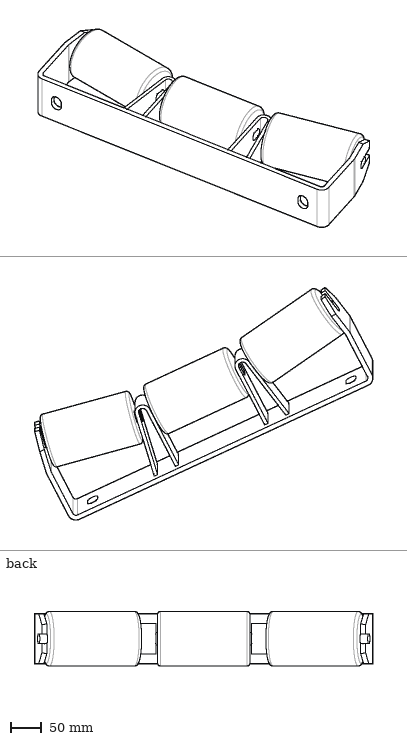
import cadquery as cq
import math

frame_length = 550.0
frame_width = 81.5
frame_thickness = 8.0
corner_radius = 14.0
tip_y = 162.0
lug_taper_y = 133.0
lug_tip_width = 46.0
knee_radius = 20.0

mount_hole_width = 18.0
mount_hole_height = 26.5
mount_hole_x = 234.0

roller_diameter = 89.0
roller_length = 150.0
roller_fillet = 5.0
roller_y = 102.5
tilt = 10.0

shaft_diameter = 20.5
shaft_flat_width = 15.5
shaft_gap = 3.0
lug_gap = 4.5

hairpin_width = 50.0
hairpin_thickness = 6.0
hairpin_radius = 12.5
shaft_drop = 12.5

tilt_sin = math.sin(math.radians(tilt))
tilt_cos = math.cos(math.radians(tilt))
shoulder = roller_length / 2 + shaft_gap
hairpin_x = shoulder + hairpin_radius
hairpin_y = roller_y + shaft_drop
bend_to_roller = hairpin_radius + shoulder
side_roller_x = hairpin_x + bend_to_roller * tilt_cos + shaft_drop * tilt_sin
side_roller_y = hairpin_y + bend_to_roller * tilt_sin - shaft_drop * tilt_cos
half_length = frame_length / 2
lug_offset = roller_length / 2 + lug_gap + frame_thickness
knee_y = side_roller_y + (lug_offset - (half_length - side_roller_x) * tilt_cos) / tilt_sin


def tilted(body):
    """Move a body from the origin to the tilted right-hand roller place."""
    turned = body.rotate((0, 0, 0), (0, 0, 1), tilt)
    return turned.translate((side_roller_x, side_roller_y, 0))


def on_side(body, side):
    """Keep a right-hand body (+1) or mirror it to the left (-1)."""
    return body if side > 0 else body.mirror("YZ")


def bar(diameter, start, length):
    """Round bar along +X from start."""
    return cq.Workplane("YZ", origin=(start, 0, 0)).circle(diameter / 2).extrude(length)


def shaft_end(start, length):
    """Flatted shaft end along +X from start."""
    flats = (cq.Workplane("YZ", origin=(start, 0, 0))
             .rect(shaft_diameter, shaft_flat_width).extrude(length))
    return bar(shaft_diameter, start, length).intersect(flats)


def make_roller(right_gap, right_end):
    """Roller on the origin along X; its left end fits a hairpin, its right end as given."""
    half_roller = roller_length / 2
    drum = bar(roller_diameter, -half_roller, roller_length).edges().fillet(roller_fillet)
    shaft = bar(shaft_diameter, -shoulder, shoulder + half_roller + right_gap)
    left = shaft_end(-shoulder - hairpin_thickness, hairpin_thickness)
    right = shaft_end(half_roller + right_gap, right_end)
    return drum.union(shaft).union(left).union(right)


def slot_tool(start, length):
    """Slot for a shaft end along +X: round-bottomed and open toward +Y."""
    opening = (cq.Workplane("XY", origin=(start, 0, 0))
               .box(length, roller_diameter, shaft_flat_width, centered=(False, False, True)))
    return opening.union(shaft_end(start, length))


def make_frame():
    """Bent strip with square corners and a tilted, slotted lug at each end."""
    run = (tip_y - knee_y) / tilt_cos
    tip = (half_length - run * tilt_sin, tip_y)
    inner_tip = (tip[0] - frame_thickness * tilt_cos, tip[1] - frame_thickness * tilt_sin)
    knee_step = frame_thickness * math.tan(math.radians(tilt / 2))
    inner_x = half_length - frame_thickness
    outline = [
        (0, 0), (half_length, 0), (half_length, knee_y), tip, inner_tip,
        (inner_x, knee_y - knee_step), (inner_x, frame_thickness), (0, frame_thickness),
    ]
    half = cq.Workplane("XY").polyline(outline).close().extrude(frame_width / 2, both=True)

    bends = [
        (outline[1], corner_radius),
        (outline[6], corner_radius - frame_thickness),
        (outline[2], knee_radius),
        (outline[5], knee_radius - frame_thickness),
    ]
    for (x, y), radius in bends:
        half = half.edges(cq.selectors.NearestToPointSelector((x, y, 0))).fillet(radius)

    for side in (-1, 1):
        taper = (cq.Workplane("YZ")
                 .moveTo(lug_taper_y, side * frame_width / 2)
                 .lineTo(tip_y, side * lug_tip_width / 2)
                 .lineTo(tip_y, side * frame_width / 2)
                 .close().extrude(half_length))
        half = half.cut(taper)
    half = half.cut(tilted(slot_tool(lug_offset - frame_thickness, frame_thickness)))

    mount_hole = (cq.Workplane("XZ").center(mount_hole_x, 0)
                  .slot2D(mount_hole_height, mount_hole_width, 90).extrude(-frame_thickness))
    half = half.cut(mount_hole)
    return half.union(half.mirror("YZ"))


def make_hairpin():
    """Right-hand hairpin: upright leg, round bend and leg leaning outward."""
    def bend_points(radius):
        """Outline points of one face, measured from the bend centre."""
        upright = (-radius, 0)
        crown = (0, radius)
        tangent = (radius * tilt_cos, radius * tilt_sin)
        drop = hairpin_y - frame_thickness
        foot = (radius / tilt_cos + drop * math.tan(math.radians(tilt)), -drop)
        return upright, crown, tangent, foot

    outer_start, outer_crown, outer_end, outer_foot = bend_points(hairpin_radius)
    inner_start, inner_crown, inner_end, inner_foot = bend_points(hairpin_radius - hairpin_thickness)
    hairpin = (cq.Workplane("XY")
               .moveTo(outer_start[0], outer_foot[1]).lineTo(*outer_start)
               .threePointArc(outer_crown, outer_end).lineTo(*outer_foot)
               .lineTo(*inner_foot).lineTo(*inner_end)
               .threePointArc(inner_crown, inner_start).lineTo(inner_start[0], inner_foot[1])
               .close().extrude(hairpin_width / 2, both=True)
               .translate((hairpin_x, hairpin_y, 0)))

    middle_end = shaft_end(shoulder, hairpin_thickness).translate((0, roller_y, 0))
    side_end = tilted(shaft_end(shoulder, hairpin_thickness).mirror("YZ"))
    return hairpin.cut(middle_end).cut(side_end)


frame = make_frame()
middle_roller = make_roller(shaft_gap, hairpin_thickness).translate((0, roller_y, 0))

hairpins = []
side_rollers = []
for side in (-1, 1):
    hairpins.append(on_side(make_hairpin(), side))
    side_rollers.append(on_side(tilted(make_roller(lug_gap, frame_thickness)), side))

bodies = [frame, middle_roller, *hairpins, *side_rollers]
result = cq.Compound.makeCompound([body.val() for body in bodies])